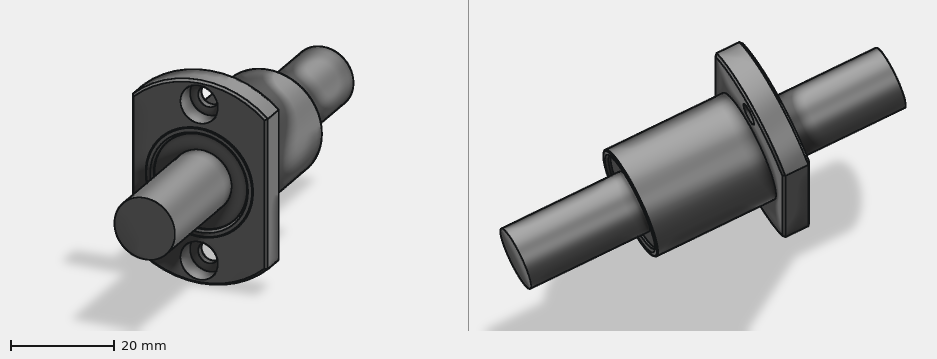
import cadquery as cq

shaft_diameter = 13.0
shaft_length = 82.0

body_diameter = 23.0
body_length = 32.0
body_chamfer = 0.2
body_front_y = -body_length / 2

recess_diameter = 20.0
recess_depth = 1.0
recess_chamfer = 0.5

flange_diameter = 43.0
flange_width = 29.0
flange_thickness = 6.0
flange_chamfer = 0.5

hole_spacing = 33.0
hole_diameter = 4.5
counterbore_diameter = 8.0
counterbore_depth = 4.4


def cylinder_along_y(diameter, start_y, length, z=0.0):
    """Cylinder parallel to Y that starts at start_y and extends toward +Y."""
    plane = cq.Plane(origin=(0, start_y, z), xDir=(1, 0, 0), normal=(0, 1, 0))
    return cq.Workplane(plane).circle(diameter / 2).extrude(length)


def make_flange():
    """Chamfered disc with flats, bored to take the body and drilled for screws."""
    disc = cylinder_along_y(flange_diameter, body_front_y, flange_thickness)
    flats = cq.Workplane("XY").box(flange_width, 2 * body_length, flange_diameter)
    flange = disc.intersect(flats).faces("<Y or >Y").chamfer(flange_chamfer)
    flange = flange.cut(cylinder_along_y(body_diameter, body_front_y, flange_thickness))
    for z in (-hole_spacing / 2, hole_spacing / 2):
        flange = flange.cut(cylinder_along_y(hole_diameter, body_front_y, flange_thickness, z))
        flange = flange.cut(cylinder_along_y(counterbore_diameter, body_front_y, counterbore_depth, z))
    return flange


def make_body():
    """Cylinder with both rims chamfered and a chamfered recess in each end."""
    body = cylinder_along_y(body_diameter, body_front_y, body_length)
    body = body.faces("<Y or >Y").chamfer(body_chamfer)
    recess_rim = cq.selectors.RadiusNthSelector(0)
    for start_y in (body_front_y, -body_front_y - recess_depth):
        body = body.cut(cylinder_along_y(recess_diameter, start_y, recess_depth))
    for end_face in ("<Y", ">Y"):
        body = body.faces(end_face).edges(recess_rim).chamfer(recess_chamfer)
    return body


def make_shaft():
    """Plain round shaft through the whole part."""
    return cylinder_along_y(shaft_diameter, -shaft_length / 2, shaft_length)


result = make_flange().union(make_body()).union(make_shaft())